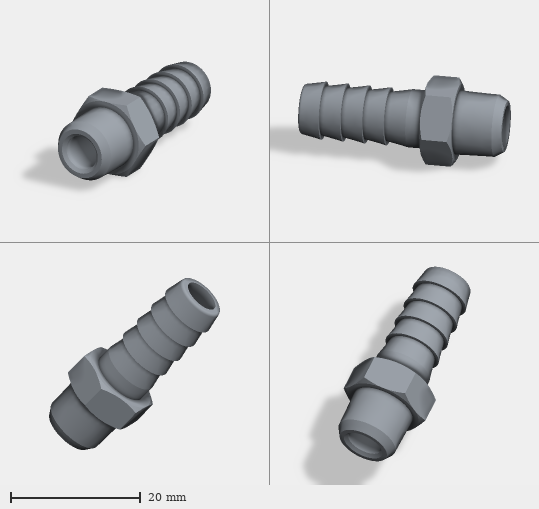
import cadquery as cq
import math

total_length = 32.0

spigot_length = 7.5
spigot_root_radius = 5.0
spigot_front_radius = 4.83
spigot_tip_radius = 4.0
spigot_chamfer_length = 1.38

hex_length = 5.0
hex_across_flats = 12.0
hex_chamfer_angle = 30.0

neck_length = 2.5
barb_count = 5
barb_crest_radius = 4.5
barb_root_radius = 3.85
tip_fillet = 0.48

bore_radius = 2.75
bore_chamfer = 0.5

front_y = -total_length / 2
back_y = total_length / 2
hex_front_y = front_y + spigot_length
hex_back_y = hex_front_y + hex_length
barbs_start_y = hex_back_y + neck_length
barb_pitch = (back_y - barbs_start_y) / barb_count
hex_flat_radius = hex_across_flats / 2
hex_corner_radius = hex_flat_radius / math.cos(math.radians(30))


def revolve_profile(points):
    """Revolve a closed outline of (radius, y) points about the Y axis."""
    return cq.Workplane("XY").polyline(points).close().revolve(360, (0, 0, 0), (0, 1, 0))


def make_spigot():
    return revolve_profile([
        (0, front_y),
        (spigot_tip_radius, front_y),
        (spigot_front_radius, front_y + spigot_chamfer_length),
        (spigot_root_radius, hex_front_y),
        (0, hex_front_y),
    ])


def make_hexagon():
    """Hexagonal prism with corners on X, its ends turned to a cone."""
    prism = (
        cq.Workplane("XZ", origin=(0, hex_back_y, 0))
        .polygon(6, 2 * hex_corner_radius)
        .extrude(hex_length)
    )
    cone_width = hex_corner_radius
    cone_drop = (cone_width - hex_flat_radius) * math.tan(math.radians(hex_chamfer_angle))
    envelope = revolve_profile([
        (0, hex_front_y),
        (hex_flat_radius, hex_front_y),
        (cone_width, hex_front_y + cone_drop),
        (cone_width, hex_back_y - cone_drop),
        (hex_flat_radius, hex_back_y),
        (0, hex_back_y),
    ])
    return prism.intersect(envelope)


def make_tail():
    """Plain neck followed by equal barbs that narrow toward the open end."""
    points = [(0, hex_back_y), (barb_crest_radius, hex_back_y)]
    for index in range(barb_count):
        crest_y = barbs_start_y + index * barb_pitch
        points.append((barb_crest_radius, crest_y))
        points.append((barb_root_radius, crest_y + barb_pitch))
    points.append((0, back_y))
    return revolve_profile(points).faces(">Y").edges().fillet(tip_fillet)


def make_bore():
    """Straight through bore with a 45 degree chamfer at the spigot mouth."""
    return revolve_profile([
        (0, front_y),
        (bore_radius + bore_chamfer, front_y),
        (bore_radius, front_y + bore_chamfer),
        (bore_radius, back_y),
        (0, back_y),
    ])


result = make_spigot().union(make_hexagon()).union(make_tail()).cut(make_bore())